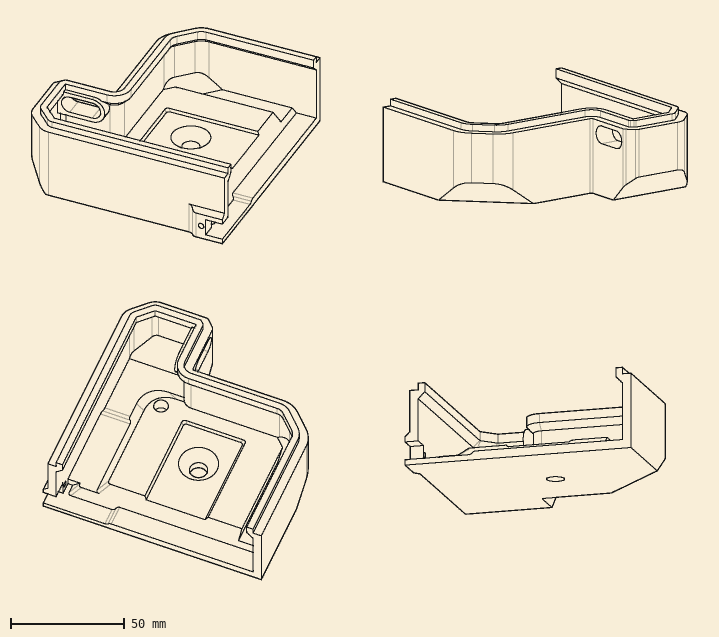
import cadquery as cq
import math

LENGTH = 99.0
DEPTH = 101.8
HEIGHT = 37.0
LIP_HEIGHT = 3.0
LIP_WIDTH = 3.0
LIP_INNER_HEIGHT = 4.2
WALL = 4.0
SHOULDER_Z = HEIGHT - LIP_HEIGHT
LIP_BOTTOM_Z = HEIGHT - LIP_INNER_HEIGHT
OVERRUN = 10.4

LOBE_WIDTH = 28.1
LOBE_DEPTH = 39.8
FRONT_CHAMFER, FRONT_RADIUS = 10.5, 7.6
NECK_CHAMFER, NECK_RADIUS = 4.2, 2.0
LIP_NECK_RADIUS = 1.2
NOTCH_RADIUS = 0.9
BACK_CHAMFER, BACK_RADIUS = 13.8, 12.0

LOBE_BEVEL = 12.3
BACK_BEVEL = 11.4

DRAIN_Z = 2.5
FLOOR_Z = 4.0
SHELF_Z = 6.0
DECK_Z = 10.0
END_SLOPE_X = 93.3

DRAIN_STEP_Y, DRAIN_STEP_RUN = 27.2, 3.0
SHELF_STEP_X, SHELF_STEP_RUN = 42.4, 5.1
SHELF_END_X = 85.3
SHELF_END_FRONT = 9.8
DECK_LEFT, DECK_FRONT, DECK_BACK = 30.1, 22.0, 86.1
DECK_CORNER_RADIUS = 15.6
SMALL_CORNER_RADIUS = 2.0

POCKET_LEFT, POCKET_FRONT, POCKET_WIDTH = 39.0, 39.8, 30.2
POCKET_DEPTH = 1.0
SCREW_X = 57.7
SCREW_Y = POCKET_FRONT + POCKET_WIDTH / 2
SCREW_DIAMETER, SCREW_HEAD_DIAMETER, SCREW_HEAD_ANGLE = 8.0, 17.7, 90
SEAT_X, SEAT_Y, SEAT_DIAMETER, SEAT_DEPTH = 36.0, 28.1, 6.5, 6.0

PORT_RIGHT_X, PORT_LEFT_X = 20.9, 10.0
PORT_DIAMETER = 8.0
COLLAR_RADIUS = 6.0
COLLAR_FRONT = 30.9
PORT_Z = SHOULDER_Z - COLLAR_RADIUS

TAB_X, TAB_STEP_RUN, TAB_HEIGHT, TAB_THICKNESS = 81.8, 4.4, 15.1, 2.2
WINDOW_X, WINDOW_TOP = 90.9, 10.6
PIN_X, PIN_Z, PIN_DIAMETER = 88.7, 6.7, 2.6


def inset_corners(corners, distances):
    """Move each side of a clockwise polygon inwards by its own distance."""
    lines = []
    for i, (x0, y0) in enumerate(corners):
        x1, y1 = corners[(i + 1) % len(corners)]
        side = math.hypot(x1 - x0, y1 - y0)
        nx, ny = (y1 - y0) / side, (x0 - x1) / side
        lines.append((nx, ny, nx * x0 + ny * y0 + distances[i]))
    moved = []
    for i, (nx1, ny1, d1) in enumerate(lines):
        nx0, ny0, d0 = lines[i - 1]
        det = nx0 * ny1 - nx1 * ny0
        moved.append(((d0 * ny1 - d1 * ny0) / det, (nx0 * d1 - nx1 * d0) / det))
    return moved


def rounded_polygon(plane, corners, radii):
    """Closed wire with a tangent arc at every corner whose radius is positive."""
    path = None
    for i, (x, y) in enumerate(corners):
        if radii[i] <= 0:
            start = end = (x, y)
        else:
            units = []
            for nx, ny in (corners[i - 1], corners[(i + 1) % len(corners)]):
                reach = math.hypot(nx - x, ny - y)
                units.append(((nx - x) / reach, (ny - y) / reach))
            (ux, uy), (vx, vy) = units
            half = math.acos(ux * vx + uy * vy) / 2
            tangent = radii[i] / math.tan(half)
            start = (x + ux * tangent, y + uy * tangent)
            end = (x + vx * tangent, y + vy * tangent)
            bisector = math.hypot(ux + vx, uy + vy)
            gap = radii[i] / math.sin(half) - radii[i]
            middle = (x + (ux + vx) / bisector * gap, y + (uy + vy) / bisector * gap)
        path = plane.moveTo(*start) if path is None else path.lineTo(*start)
        if radii[i] > 0:
            path = path.threePointArc(middle, end)
    return path.close()


def outline(plane, inset, right=LENGTH, neck_radius=0.0):
    """Shell outline moved inwards by inset on every side but the open +X end."""
    corners = [
        (right, 0),
        (FRONT_CHAMFER, 0),
        (0, FRONT_CHAMFER),
        (0, LOBE_DEPTH - NECK_CHAMFER),
        (NECK_CHAMFER, LOBE_DEPTH),
        (LOBE_WIDTH, LOBE_DEPTH),
        (LOBE_WIDTH, DEPTH - BACK_CHAMFER),
        (LOBE_WIDTH + BACK_CHAMFER, DEPTH),
        (right, DEPTH),
    ]
    front = FRONT_RADIUS - inset
    back = BACK_RADIUS - inset
    radii = [0, front, front, neck_radius, neck_radius, NOTCH_RADIUS + inset, back, back, 0]
    distances = [inset] * (len(corners) - 1) + [0]
    return rounded_polygon(plane, inset_corners(corners, distances), radii)


def level(z):
    return cq.Workplane("XY", origin=(0, 0, z))


def s_step(path, start, run, rise):
    """Two equal tangent arcs from start, level at both ends."""
    radius = (run**2 + rise**2) / (4 * abs(rise))
    angle = math.atan2(run / 2, radius - abs(rise) / 2)
    along = radius * math.sin(angle / 2)
    across = math.copysign(radius * (1 - math.cos(angle / 2)), rise)
    x, y = start
    centre = (x + run / 2, y + rise / 2)
    end = (x + run, y + rise)
    path = path.threePointArc((x + along, y + across), centre)
    return path.threePointArc((end[0] - along, end[1] - across), end)


def prism_along_y(points, front, back):
    """Extrude an XZ polygon from y = front to y = back."""
    return cq.Workplane("XZ", origin=(0, front, 0)).polyline(points).close().extrude(front - back)


def bevel_wedges(extra):
    """Material under the two 45 degree outer bevels, thickened by extra."""
    def wedge(leg):
        leg += extra * math.sqrt(2)
        points = [(-OVERRUN, 0), (leg, 0), (0, leg), (-OVERRUN, leg + OVERRUN)]
        return prism_along_y(points, -LENGTH / 2, LENGTH / 2)

    lobe_side = wedge(LOBE_BEVEL)
    middle = (LOBE_WIDTH + BACK_CHAMFER / 2, DEPTH - BACK_CHAMFER / 2, 0)
    back_corner = wedge(BACK_BEVEL).rotate((0, 0, 0), (0, 0, 1), -45).translate(middle)
    return lobe_side.union(back_corner)


def make_blank():
    block = outline(level(0), 0, neck_radius=NECK_RADIUS).extrude(SHOULDER_Z)
    return block.cut(bevel_wedges(0))


def make_cavity():
    """Inner space, narrowing at 45 degrees under the lip."""
    right = LENGTH + OVERRUN
    lip_inset = WALL + LIP_WIDTH
    slope_z = LIP_BOTTOM_Z - LIP_WIDTH
    lower = outline(level(FLOOR_Z), WALL, right).extrude(slope_z - FLOOR_Z)
    slope = outline(level(slope_z), WALL, right)
    slope = outline(slope.workplane(offset=LIP_WIDTH), lip_inset, right).loft(ruled=True)
    upper = outline(level(LIP_BOTTOM_Z), lip_inset, right).extrude(LIP_INNER_HEIGHT + OVERRUN)
    return lower.cut(bevel_wedges(WALL)).union(slope).union(upper)


def make_drain():
    """Low strip of floor at the +X end, reached by a soft step."""
    plane = cq.Workplane("YZ", origin=(SHELF_END_X, 0, 0))
    path = plane.moveTo(WALL, DRAIN_Z).lineTo(DRAIN_STEP_Y, DRAIN_Z)
    path = s_step(path, (DRAIN_STEP_Y, DRAIN_Z), DRAIN_STEP_RUN, FLOOR_Z - DRAIN_Z)
    return path.lineTo(WALL, FLOOR_Z).close().extrude(LENGTH + OVERRUN - SHELF_END_X)


def sloped_block(left, front, back, top, left_radius=0.0):
    """Block with 45 degree -X, -Y and +X sides; left and front are taken at the top."""
    right = END_SLOPE_X - top
    ends = [(left - top, 0), (left, top), (right, top), (END_SLOPE_X, 0)]
    across = prism_along_y(ends, front - top, back)
    side = [(front - top, 0), (front, top), (back, top), (back, 0)]
    along = cq.Workplane("YZ", origin=(left - top, 0, 0)).polyline(side).close().extrude(LENGTH)
    block = across.intersect(along)
    left_corner = cq.selectors.ParallelDirSelector(cq.Vector(1, 1, 1))
    right_corner = cq.selectors.ParallelDirSelector(cq.Vector(-1, 1, 1))
    if left_radius:
        block = block.edges(left_corner).fillet(left_radius)
    return block.edges(right_corner).fillet(SMALL_CORNER_RADIUS)


def make_shelf():
    """Raised floor with a soft -X step, a cut-back +X end and a full-width part behind the deck."""
    path = cq.Workplane("XZ").moveTo(SHELF_STEP_X, 0).lineTo(SHELF_STEP_X, FLOOR_Z)
    path = s_step(path, (SHELF_STEP_X, FLOOR_Z), SHELF_STEP_RUN, SHELF_Z - FLOOR_Z)
    main = path.lineTo(SHELF_END_X, SHELF_Z).lineTo(SHELF_END_X, 0).close().extrude(-DEPTH)
    end_left = SHELF_END_X - SHELF_Z
    end = sloped_block(end_left, SHELF_END_FRONT, DEPTH, SHELF_Z)
    back_start = DECK_BACK - WALL
    back = cq.Workplane("XY", origin=(0, back_start, 0))
    back = back.box(end_left, DEPTH - back_start, SHELF_Z, centered=False)
    return main.union(end).union(back)


def make_deck():
    deck = sloped_block(DECK_LEFT, DECK_FRONT, DECK_BACK, DECK_Z, DECK_CORNER_RADIUS)
    return deck.cut(make_pocket())


def make_pocket():
    """Shallow pocket with 45 degree sides, open to the +X slope."""
    pocket_length = LENGTH - POCKET_LEFT
    plane = level(DECK_Z).center(POCKET_LEFT + pocket_length / 2, SCREW_Y)
    pocket = plane.rect(pocket_length, POCKET_WIDTH).extrude(-POCKET_DEPTH, taper=45)
    left_corners = pocket.faces("<X").edges("not |Y")
    return left_corners.fillet(SMALL_CORNER_RADIUS)


def oblong(radius, left, front, back):
    """Bar along Y with rounded ends; left is the centre of its -X end."""
    centre = (left + PORT_RIGHT_X) / 2
    plane = cq.Workplane("XZ", origin=(centre, front, PORT_Z))
    return plane.slot2D(PORT_RIGHT_X - left + 2 * radius, 2 * radius).extrude(front - back)


def make_tab():
    """Low pad with a soft -X step and a 45 degree bevel along its top."""
    path = cq.Workplane("XY").moveTo(TAB_X, WALL / 2).lineTo(TAB_X, 0)
    path = s_step(path, (TAB_X, 0), TAB_STEP_RUN, -TAB_THICKNESS)
    tab = path.lineTo(LENGTH, -TAB_THICKNESS).lineTo(LENGTH, WALL / 2).close().extrude(TAB_HEIGHT)
    bevel = [
        (-TAB_THICKNESS, TAB_HEIGHT - TAB_THICKNESS),
        (0, TAB_HEIGHT),
        (-TAB_THICKNESS, TAB_HEIGHT),
    ]
    return tab.cut(cq.Workplane("YZ").polyline(bevel).close().extrude(LENGTH))


def cut_holes(part):
    screw_plane = cq.Workplane("XY", origin=(SCREW_X, SCREW_Y, DECK_Z - POCKET_DEPTH))
    part = part.copyWorkplane(screw_plane).cskHole(SCREW_DIAMETER, SCREW_HEAD_DIAMETER, SCREW_HEAD_ANGLE)
    part = part.cut(level(DECK_Z).center(SEAT_X, SEAT_Y).circle(SEAT_DIAMETER / 2).extrude(-SEAT_DEPTH))
    front = -TAB_THICKNESS
    pin = cq.Workplane("XZ", origin=(PIN_X, front, PIN_Z)).circle(PIN_DIAMETER / 2).extrude(front - WALL)
    window_size = (LENGTH - WINDOW_X, WALL - front, WINDOW_TOP - DRAIN_Z)
    window = cq.Workplane("XY", origin=(WINDOW_X, front, DRAIN_Z)).box(*window_size, centered=False)
    return part.cut(pin).cut(window)


blank = make_blank()
lip = outline(level(SHOULDER_Z), WALL, neck_radius=LIP_NECK_RADIUS).extrude(LIP_HEIGHT)
result = blank.union(lip).cut(make_cavity()).cut(make_drain())
result = result.union(make_shelf().intersect(blank))
result = result.union(make_deck().intersect(blank))
result = result.union(oblong(COLLAR_RADIUS, WALL, COLLAR_FRONT, LOBE_DEPTH).intersect(blank))
result = result.cut(oblong(PORT_DIAMETER / 2, PORT_LEFT_X, COLLAR_FRONT, LOBE_DEPTH))
result = cut_holes(result.union(make_tab()))